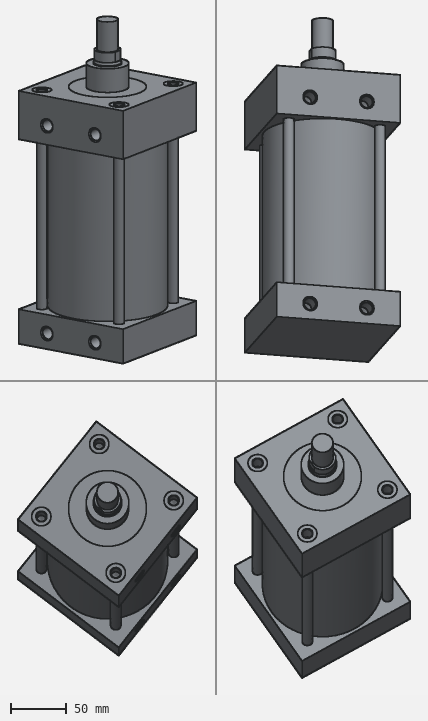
import cadquery as cq
import math

total_height = 298.5
cap_side = 114.3
rear_cap_height = 32.2
head_bottom = 190.5
head_height = 45.0
head_top = head_bottom + head_height
barrel_diameter = 108.0

tie_rod_spacing = 84.5
tie_rod_diameter = 9.5
nut_diameter = 17.3
nut_height = head_height / 2
nut_bottom = head_top - nut_height
nut_hole_diameter = 9.0
nut_hole_mouth = 9.8
nut_hole_depth = 15.0

mount_hole_spacing = 52.5
mount_hole_diameter = 10.7
mount_hole_mouth = 13.0
mount_hole_depth = 16.5
rear_mount_height = 14.5
head_mount_height = 208.0

drill_tip_angle = 118.0

gland_diameter = 69.8
collar_diameter = 38.2
collar_top = 257.5
wiper_height = 3.5
wiper_base_height = 1.0
wiper_base_diameter = 25.7

rod_diameter = 24.0
thread_diameter = 19.0
shoulder_height = 270.5
flats_width = 22.5
flats_bottom = collar_top + wiper_height


def cylinder(diameter, bottom, top):
    """Vertical cylinder on the Z axis."""
    return cq.Workplane("XY").workplane(offset=bottom).circle(diameter / 2).extrude(top - bottom)


def square_cap(bottom, height):
    """Square block centred on the Z axis."""
    return cq.Workplane("XY").workplane(offset=bottom).rect(cap_side, cap_side).extrude(height)


def drilled_hole(diameter, mouth_diameter, depth):
    """Cutter for a blind hole: opening at the origin, going down -Z to a drill point."""
    radius = diameter / 2
    mouth_radius = mouth_diameter / 2
    chamfer = mouth_radius - radius
    tip_depth = radius / math.tan(math.radians(drill_tip_angle / 2))
    profile = [
        (0, 0),
        (mouth_radius, 0),
        (radius, -chamfer),
        (radius, -depth),
        (0, -depth - tip_depth),
    ]
    return cq.Workplane("XZ").polyline(profile).close().revolve(360, (0, 0, 0), (0, 1, 0))


def tie_rod_centres():
    """Corners of the square tie rod pattern."""
    half = tie_rod_spacing / 2
    return [(x, y) for x in (-half, half) for y in (-half, half)]


def cut_mount_holes(cap, height):
    """Drill the pair of mounting holes into the -Y face of a cap."""
    cutter = drilled_hole(mount_hole_diameter, mount_hole_mouth, mount_hole_depth)
    cutter = cutter.rotate((0, 0, 0), (1, 0, 0), 90)
    for x in (-mount_hole_spacing / 2, mount_hole_spacing / 2):
        cap = cap.cut(cutter.translate((x, -cap_side / 2, height)))
    return cap


def tie_rod_envelope():
    """Tie rod with its sleeve nut, on the Z axis, before the nut is drilled."""
    stem = cylinder(tie_rod_diameter, rear_cap_height, nut_bottom)
    return stem.union(cylinder(nut_diameter, nut_bottom, head_top))


def make_barrel_body():
    """Rear cap carrying the barrel and the four tie rods with their nuts."""
    body = square_cap(0, rear_cap_height)
    body = cut_mount_holes(body, rear_mount_height)
    body = body.union(cylinder(barrel_diameter, rear_cap_height, head_bottom))
    nut_hole = drilled_hole(nut_hole_diameter, nut_hole_mouth, nut_hole_depth)
    tie_rod = tie_rod_envelope().cut(nut_hole.translate((0, 0, head_top)))
    for x, y in tie_rod_centres():
        body = body.union(tie_rod.translate((x, y, 0)))
    return body


def make_head():
    """Front cap, bored for the gland and for the stepped tie rods."""
    head = square_cap(head_bottom, head_height)
    head = head.cut(cylinder(gland_diameter, head_bottom, head_top))
    for x, y in tie_rod_centres():
        head = head.cut(tie_rod_envelope().translate((x, y, 0)))
    return cut_mount_holes(head, head_mount_height)


def make_gland():
    """Gland flush with the head, with a raised collar and a tapered wiper lip."""
    gland = cylinder(gland_diameter, head_bottom, head_top)
    gland = gland.union(cylinder(collar_diameter, head_top, collar_top))
    lip_bottom = collar_top + wiper_base_height
    gland = gland.union(cylinder(wiper_base_diameter, collar_top, lip_bottom))
    lip = (
        cq.Workplane("XY")
        .workplane(offset=lip_bottom)
        .circle(wiper_base_diameter / 2)
        .workplane(offset=wiper_height - wiper_base_height)
        .circle(rod_diameter / 2)
        .loft()
    )
    return gland.union(lip).cut(cylinder(rod_diameter, head_bottom, flats_bottom))


def make_piston_rod():
    """Rod from the barrel end, with two wrench flats facing X and a thinner threaded end."""
    rod = cylinder(rod_diameter, head_bottom, flats_bottom)
    flats = cylinder(rod_diameter, flats_bottom, shoulder_height).intersect(
        cq.Workplane("XY").workplane(offset=flats_bottom)
        .rect(flats_width, rod_diameter).extrude(shoulder_height - flats_bottom)
    )
    return rod.union(flats).union(cylinder(thread_diameter, shoulder_height, total_height))


barrel_body = make_barrel_body()
head = make_head()
gland = make_gland()
piston_rod = make_piston_rod()

result = cq.Compound.makeCompound([barrel_body.val(), head.val(), gland.val(), piston_rod.val()])